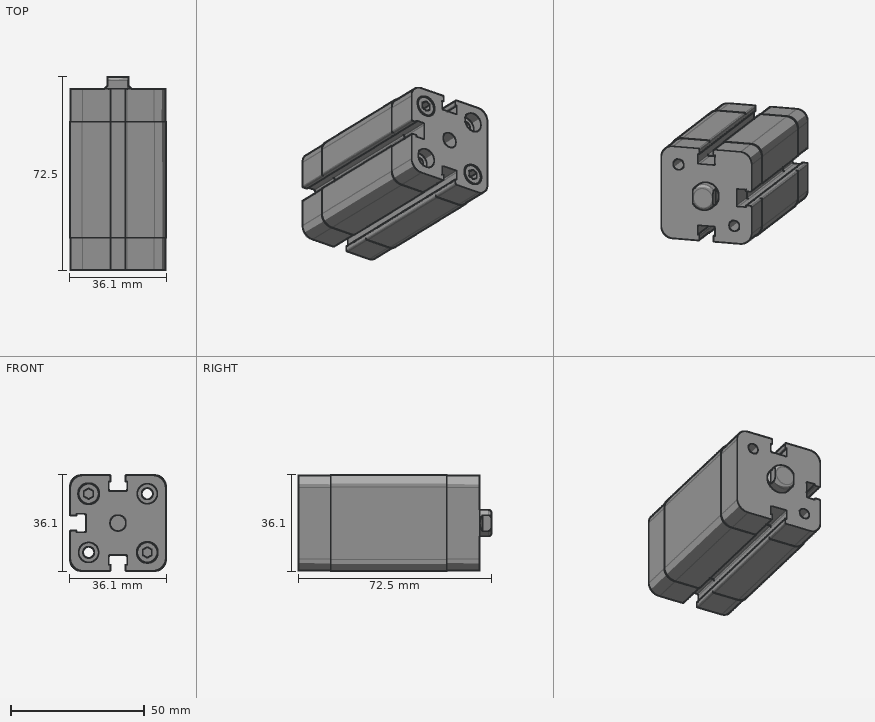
import cadquery as cq
import math

body_size = 36.1
cap_size = 35.7
total_length = 68.0
cap_length = 12.25
body_length = total_length - 2 * cap_length
corner_radius = 4.5

slot_opening = 5.5
slot_width = 6.8
slot_floor = 12.1
cap_slot_floor = slot_floor - (body_size - cap_size) / 2
slot_lip = 15.55
slot_radius = 0.5
lip_inner_radius = 0.3
slot_angles = (0, -90, 180)

bolt_offset = 11.0
through_diameter = 4.13
counterbore_diameter = 7.5
counterbore_depth = 4.5
screw_recess_diameter = 8.0
screw_head_diameter = 7.5
screw_groove_depth = 0.5
hex_across_flats = 3.5
hex_depth = 4.0
hex_turn = 30

center_hole_diameter = 6.0
center_hole_depth = 8.0

rod_diameter = 10.0
rod_length = 4.5
rod_tip_radius = 1.25
rod_flats_width = 8.0
rod_flats_length = 3.4

hole_points = [(bolt_offset, bolt_offset), (-bolt_offset, -bolt_offset)]
screw_points = [(-bolt_offset, bolt_offset), (bolt_offset, -bolt_offset)]


def plane_at(y):
    """XZ sketch plane at y, facing -Y; negative extrusions grow toward +Y."""
    return cq.Workplane(cq.Plane(origin=(0, y, 0), xDir=(1, 0, 0), normal=(0, -1, 0)))


def slot_cutter(y, length, floor, size):
    """T-slot through the top side of a block, rounded at its floor and lips."""
    half_size = size / 2
    undercut = (
        plane_at(y)
        .center(0, (floor + slot_lip) / 2)
        .rect(slot_width, slot_lip - floor)
        .extrude(-length)
    )
    undercut = undercut.edges("|Y and <Z").fillet(slot_radius)
    half_opening = slot_opening / 2
    half_mouth = half_opening + slot_radius
    half_throat = half_opening + lip_inner_radius
    inset_ratio = 1 - math.sqrt(0.5)
    bend = slot_radius * inset_ratio
    inner_bend = lip_inner_radius * inset_ratio
    opening = (
        plane_at(y)
        .moveTo(0, slot_lip)
        .lineTo(half_throat, slot_lip)
        .threePointArc(
            (half_opening + inner_bend, slot_lip + inner_bend),
            (half_opening, slot_lip + lip_inner_radius),
        )
        .lineTo(half_opening, half_size - slot_radius)
        .threePointArc((half_opening + bend, half_size - bend), (half_mouth, half_size))
        .lineTo(0, half_size)
        .mirrorY()
        .extrude(-length)
    )
    return undercut.union(opening)


def slotted_block(y, length, size, floor):
    """Rounded square block starting at y, with a T-slot on three sides."""
    block = plane_at(y).rect(size, size).extrude(-length).edges("|Y").fillet(corner_radius)
    cutter = slot_cutter(y, length, floor, size)
    for angle in slot_angles:
        block = block.cut(cutter.rotate((0, 0, 0), (0, 1, 0), angle))
    return block


def mounting_holes():
    """Through holes with a counterbore at the front face."""
    centers = plane_at(0).pushPoints(hole_points)
    through = centers.circle(through_diameter / 2).extrude(-total_length)
    bores = centers.circle(counterbore_diameter / 2).extrude(-counterbore_depth)
    return through.union(bores)


def screw_details():
    """Gap around each screw head and its hexagon socket."""
    details = (
        plane_at(0)
        .pushPoints(screw_points)
        .circle(screw_recess_diameter / 2)
        .circle(screw_head_diameter / 2)
        .extrude(-screw_groove_depth)
    )
    hex_corner_diameter = hex_across_flats / math.cos(math.pi / 6)
    for x, z in screw_points:
        socket = plane_at(0).polygon(6, hex_corner_diameter).extrude(-hex_depth)
        socket = socket.rotate((0, 0, 0), (0, 1, 0), hex_turn).translate((x, 0, z))
        details = details.union(socket)
    return details


def piston_rod():
    """Rod end with a rounded tip and two flats that run out at 45 degrees."""
    rod = plane_at(total_length).circle(rod_diameter / 2).extrude(-rod_length)
    rod = rod.faces(">Y").edges().fillet(rod_tip_radius)
    tip = total_length + rod_length
    flat_end = tip - rod_flats_length
    half_flats = rod_flats_width / 2
    reach = rod_diameter - half_flats
    flat_cut = (
        cq.Workplane("XY")
        .moveTo(half_flats, tip)
        .lineTo(half_flats, flat_end)
        .lineTo(half_flats + reach, flat_end - reach)
        .lineTo(half_flats + reach, tip)
        .close()
        .extrude(rod_diameter / 2, both=True)
    )
    return rod.cut(flat_cut).cut(flat_cut.mirror("YZ"))


front_cap = slotted_block(0, cap_length, cap_size, cap_slot_floor)
body = slotted_block(cap_length, body_length, body_size, slot_floor)
rear_cap = slotted_block(cap_length + body_length, cap_length, cap_size, cap_slot_floor)
center_hole = plane_at(0).circle(center_hole_diameter / 2).extrude(-center_hole_depth)

result = front_cap.union(body).union(rear_cap).union(piston_rod())
result = result.cut(mounting_holes()).cut(screw_details()).cut(center_hole)